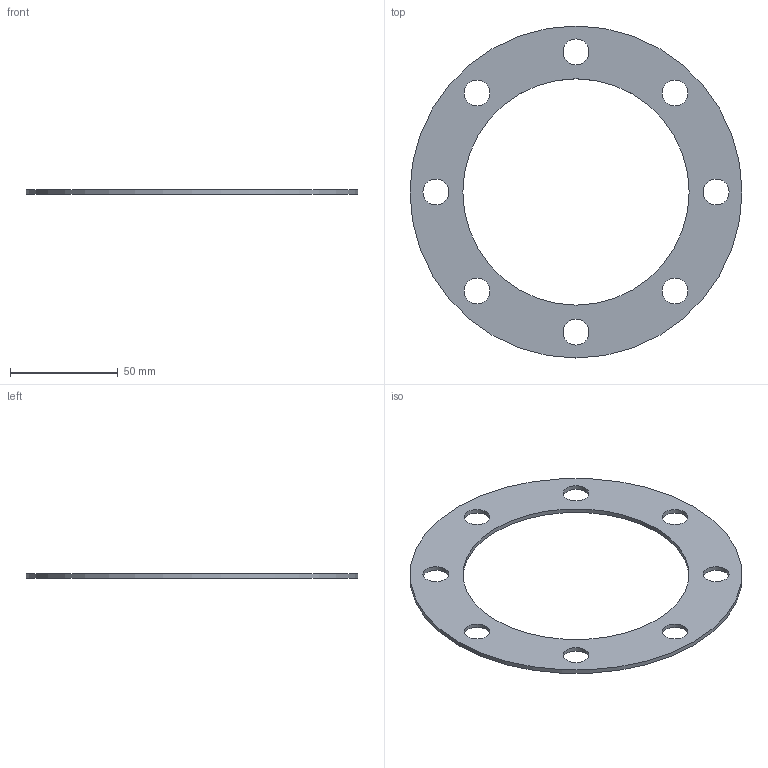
import cadquery as cq

OUTER_DIAMETER = 154.0
INNER_DIAMETER = 105.0
THICKNESS = 2.0

BOLT_CIRCLE_DIAMETER = 130.0
BOLT_HOLE_DIAMETER = 12.0
BOLT_HOLE_COUNT = 8
FULL_TURN = 360.0


def make_ring():
    """Flat annulus with its underside at Z = 0."""
    return (
        cq.Workplane("XY")
        .circle(OUTER_DIAMETER / 2)
        .circle(INNER_DIAMETER / 2)
        .extrude(THICKNESS)
    )


def make_bolt_holes():
    """Cylinders evenly spaced on the bolt circle, the first on the +X axis."""
    return (
        cq.Workplane("XY")
        .polarArray(BOLT_CIRCLE_DIAMETER / 2, 0, FULL_TURN, BOLT_HOLE_COUNT)
        .circle(BOLT_HOLE_DIAMETER / 2)
        .extrude(THICKNESS)
    )


result = make_ring().cut(make_bolt_holes())